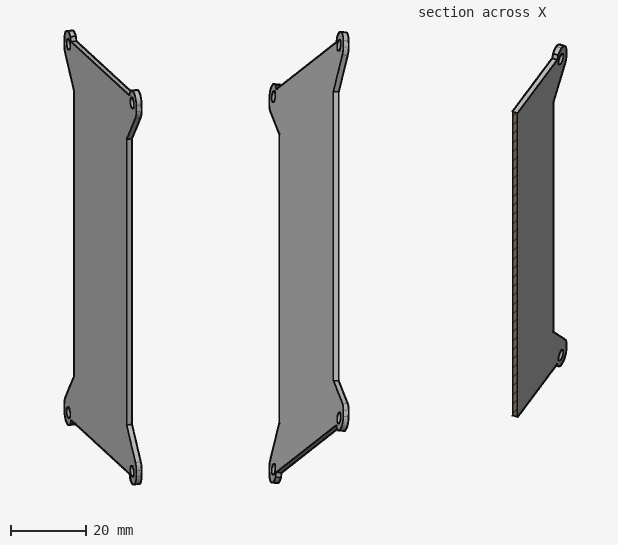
import cadquery as cq

width = 60.0
height = 110.0
thickness = 1.5
body_width = 44.0
body_height = 105.8
waist_height = 79.9

ear_radius = 3.1
ear_side_height = 1.8
ear_side_lean = 0.05
ear_inner_run = 2.1
ear_inner_drop = 0.9
ear_end_run = 0.5

hole_diameter = 3.0
hole_spacing_x = 53.0
hole_spacing_z = 103.0

ear_x = width / 2 - ear_radius
ear_inner_radius = (ear_inner_run**2 + ear_inner_drop**2) / (2 * ear_inner_drop)
ear_upper_z = height / 2 - ear_radius
ear_lower_z = ear_upper_z - ear_side_height


def tangent_point():
    """Point where the line from the waist corner touches the lower ear arc."""
    dx = body_width / 2 - ear_x
    dz = waist_height / 2 - ear_lower_z
    distance_squared = dx**2 + dz**2
    along = ear_radius**2 / distance_squared
    across = ear_radius * (distance_squared - ear_radius**2) ** 0.5 / distance_squared
    return ear_x + along * dx - across * dz, ear_lower_z + along * dz + across * dx


def quarter_plate():
    """Upper quarter of the plate on the +X side, with its ear."""
    inner_end_x = ear_x - ear_inner_run
    return (
        cq.Workplane("XZ")
        .lineTo(body_width / 2, 0)
        .lineTo(body_width / 2, waist_height / 2)
        .lineTo(*tangent_point())
        .radiusArc((width / 2, ear_lower_z), -ear_radius)
        .lineTo(width / 2 - ear_side_lean, ear_upper_z)
        .radiusArc((ear_x, height / 2), -ear_radius)
        .radiusArc((inner_end_x, height / 2 - ear_inner_drop), -ear_inner_radius)
        .lineTo(inner_end_x - ear_end_run, body_height / 2)
        .lineTo(0, body_height / 2)
        .close()
        .extrude(thickness / 2, both=True)
    )


upper_half = quarter_plate()
upper_half = upper_half.union(upper_half.mirror("YZ"))
plate = upper_half.union(upper_half.mirror("XY"))

holes = (
    cq.Workplane("XZ")
    .rarray(hole_spacing_x, hole_spacing_z, 2, 2)
    .circle(hole_diameter / 2)
    .extrude(thickness, both=True)
)
result = plate.cut(holes).clean()